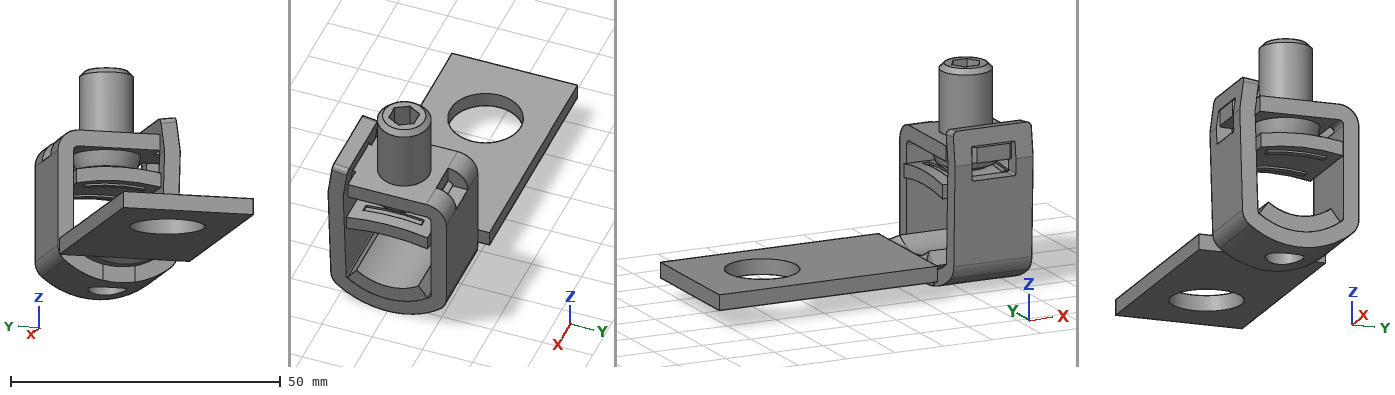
import cadquery as cq
import math

sheet = 3.0
bottom_radius = 16.3
trough_outer_radius = bottom_radius - sheet
trough_inner_radius = trough_outer_radius - sheet
clamp_x = 57.0
screw_y = 0.2

lug_width = 25.0
lug_base = 3.95
lug_flat_length = 45.0
bolt_hole_diameter = 14.0
bolt_hole_x = 14.9
trough_start_x = 46.3
trough_half_angle = math.radians(37)
neck_half_width = trough_outer_radius * math.sin(trough_half_angle)

housing_width = 16.1
housing_start_x = clamp_x - housing_width / 2
housing_end_x = clamp_x + housing_width / 2
roof_top = 28.55
roof_underside = roof_top - sheet
roof_end_y = -7.9
bend_inner_radius = 1.0
bend_outer_radius = bend_inner_radius + sheet
foot_inner_radius = 0.5
foot_outer_radius = foot_inner_radius + sheet
back_wall_y = 11.7
front_foot_y = -11.25
front_bend_y = -11.85
front_top_y = -11.0
front_top_z = 32.0
front_corner_radius = 1.0
window_width = 9.0
window_bottom = 22.2
window_top = 28.8
window_corner_radius = 0.4
tongue_width = 8.15
tongue_end_y = -11.6
tongue_chamfer = 0.65
back_slot_width = 6.0
back_slot_y = 7.75
floor_hole_diameter = 7.2
floor_tab_width = 6.2
floor_tab_length = 0.2
collar_root_radius = 6.4
collar_middle_radius = 6.1
collar_tip_radius = 5.6
collar_height = 2.9

plate_length = 17.5
plate_width = 16.2
plate_crown = 21.8
plate_thickness = 2.6
plate_radius = 43.4
groove_offset = 5.4
groove_width = 1.5
groove_length = 11.6
groove_depth = 0.4

screw_diameter = 10.0
screw_top = 41.5
screw_tip = plate_crown
screw_chamfer = 1.0
hex_across_flats = 5.0
hex_depth = 5.0


def box(x_range, y_range, z_range):
    """Axis-aligned block between the given limits."""
    low, high = zip(x_range, y_range, z_range)
    return cq.Workplane("XY").box(*(b - a for a, b in zip(low, high)), centered=False).translate(low)


def floor_arc_z(radius, y):
    """Height of a curved floor surface of the given radius at a given Y."""
    return bottom_radius - math.sqrt(radius**2 - y**2)


def trough_section(x):
    """Ring-sector cross-section of the trough, with radial ends."""
    sine = math.sin(trough_half_angle)
    cosine = math.cos(trough_half_angle)
    outer, inner = trough_outer_radius, trough_inner_radius
    return (
        cq.Workplane("YZ", origin=(x, 0, bottom_radius))
        .moveTo(-outer * sine, -outer * cosine)
        .threePointArc((0, -outer), (outer * sine, -outer * cosine))
        .lineTo(inner * sine, -inner * cosine)
        .threePointArc((0, -inner), (-inner * sine, -inner * cosine))
        .close()
    )


def neck_section():
    """Flat cross-section from which the lug is formed into the trough."""
    return (
        cq.Workplane("YZ", origin=(lug_flat_length, 0, lug_base))
        .moveTo(-neck_half_width, 0)
        .lineTo(neck_half_width, 0)
        .lineTo(neck_half_width, sheet)
        .lineTo(-neck_half_width, sheet)
        .close()
    )


def make_lug():
    flat = box((0, lug_flat_length), (-lug_width / 2, lug_width / 2), (lug_base, lug_base + sheet))
    bolt_hole = (
        cq.Workplane("XY")
        .center(bolt_hole_x, 0)
        .circle(bolt_hole_diameter / 2)
        .extrude(lug_base + sheet)
    )
    neck = cq.Solid.makeLoft([neck_section().val(), trough_section(trough_start_x).val()], True)
    trough = trough_section(trough_start_x).extrude(housing_end_x - trough_start_x)
    return flat.cut(bolt_hole).union(cq.Workplane(neck)).union(trough)


def make_entry_trim():
    """Thin slice taken off the entry edge of the strip, leaving only the tab on the curved floor."""
    x_range = (housing_start_x - floor_tab_length, housing_start_x)
    slice_all = box(x_range, (front_bend_y - sheet, back_wall_y + sheet), (0, front_top_z + sheet))
    tab = box(x_range, (-floor_tab_width / 2, floor_tab_width / 2), (0, bottom_radius))
    return slice_all.cut(tab)


def make_strip():
    """The bent strip with its rounded bends, before any openings."""
    back_inner_y = back_wall_y - sheet
    front_foot_inner_y = front_foot_y + sheet
    lean = math.atan2(front_top_y - front_bend_y, front_top_z - roof_underside)
    top_inner = (front_top_y + sheet * math.cos(lean), front_top_z - sheet * math.sin(lean))
    back_foot = (back_wall_y, floor_arc_z(bottom_radius, back_wall_y))
    front_foot = (front_foot_y, floor_arc_z(bottom_radius, front_foot_y))
    back_foot_inner = (back_inner_y, floor_arc_z(trough_outer_radius, back_inner_y))
    front_foot_inner = (front_foot_inner_y, floor_arc_z(trough_outer_radius, front_foot_inner_y))
    strip = (
        cq.Workplane("YZ", origin=(housing_start_x - floor_tab_length, 0, 0))
        .moveTo(roof_end_y, roof_top)
        .lineTo(back_wall_y, roof_top)
        .lineTo(*back_foot)
        .threePointArc((0, 0), front_foot)
        .lineTo(front_bend_y, roof_underside)
        .lineTo(front_top_y, front_top_z)
        .lineTo(*top_inner)
        .lineTo(front_bend_y + sheet, roof_underside)
        .lineTo(*front_foot_inner)
        .threePointArc((0, sheet), back_foot_inner)
        .lineTo(back_inner_y, roof_underside)
        .lineTo(roof_end_y, roof_underside)
        .close()
        .extrude(housing_width + floor_tab_length)
    )
    bends = [
        ((back_wall_y, roof_top), bend_outer_radius),
        ((back_inner_y, roof_underside), bend_inner_radius),
        (back_foot, foot_outer_radius),
        (front_foot, foot_outer_radius),
        (back_foot_inner, foot_inner_radius),
        (front_foot_inner, foot_inner_radius),
    ]
    for corner, radius in bends:
        strip = strip.edges(cq.NearestToPointSelector((clamp_x, *corner))).fillet(radius)
    strip = strip.cut(make_entry_trim())
    for x in (housing_start_x, housing_end_x):
        top_corner = cq.NearestToPointSelector((x, front_top_y + sheet / 2, front_top_z))
        strip = strip.edges(top_corner).fillet(front_corner_radius)
    return strip


def make_tongue():
    """Narrow end of the roof that reaches into the front window."""
    half_width = tongue_width / 2
    tongue = box(
        (clamp_x - half_width, clamp_x + half_width), (tongue_end_y, roof_end_y), (roof_underside, roof_top)
    )
    return tongue.edges("<Y and |Z").chamfer(tongue_chamfer)


def make_collar():
    """Flared collar drawn down from the roof around the screw."""
    tip_z = roof_underside - collar_height
    return (
        cq.Workplane("XZ", origin=(clamp_x, screw_y, 0))
        .moveTo(0, roof_underside)
        .lineTo(collar_root_radius, roof_underside)
        .threePointArc(
            (collar_middle_radius, roof_underside - collar_height / 2), (collar_tip_radius, tip_z)
        )
        .lineTo(0, tip_z)
        .close()
        .revolve(360, (0, 0, 0), (0, 1, 0))
    )


def make_housing():
    window = box(
        (clamp_x - window_width / 2, clamp_x + window_width / 2),
        (front_bend_y, roof_end_y),
        (window_bottom, window_top),
    ).edges("|Y").fillet(window_corner_radius)
    back_slot = box(
        (clamp_x - back_slot_width / 2, clamp_x + back_slot_width / 2),
        (back_slot_y, back_wall_y),
        (roof_underside - bend_inner_radius, roof_top),
    )
    floor_hole = cq.Workplane("XY").center(clamp_x, 0).circle(floor_hole_diameter / 2).extrude(sheet * 2)
    screw_hole = (
        cq.Workplane("XY", origin=(clamp_x, screw_y, screw_tip))
        .circle(screw_diameter / 2)
        .extrude(screw_top - screw_tip)
    )
    return (
        make_strip()
        .cut(window)
        .cut(back_slot)
        .cut(floor_hole)
        .union(make_tongue())
        .union(make_collar())
        .cut(screw_hole)
    )


def make_screw():
    hex_diameter = hex_across_flats / math.cos(math.pi / 6)
    return (
        cq.Workplane("XY", origin=(clamp_x, screw_y, screw_tip))
        .circle(screw_diameter / 2)
        .extrude(screw_top - screw_tip)
        .edges()
        .chamfer(screw_chamfer)
        .faces(">Z")
        .workplane(origin=(clamp_x, screw_y, screw_top))
        .polygon(6, hex_diameter)
        .cutBlind(-hex_depth)
    )


def arched_slab(middle_x, length, width, crown):
    """Slab arched across Y over the screw axis, with its highest line at the given height."""
    start_x = middle_x - length / 2
    ring = (
        cq.Workplane("YZ", origin=(start_x, screw_y, crown - plate_radius))
        .circle(plate_radius)
        .circle(plate_radius - plate_thickness)
        .extrude(length)
    )
    limits = box(
        (start_x, start_x + length), (screw_y - width / 2, screw_y + width / 2), (0, screw_top)
    )
    return ring.intersect(limits)


def make_pressure_plate():
    plate = arched_slab(clamp_x, plate_length, plate_width, plate_crown)
    for side in (-1, 1):
        groove_x = clamp_x + side * groove_offset
        floor_crown = plate_crown - groove_depth
        ridge = arched_slab(groove_x, groove_width, groove_length, floor_crown)
        groove = arched_slab(groove_x, groove_width, groove_length, floor_crown + plate_thickness)
        plate = plate.union(ridge).cut(groove)
    return plate


lug = make_lug()
housing = make_housing()
screw = make_screw()
pressure_plate = make_pressure_plate()

result = cq.Compound.makeCompound(
    [
        *lug.solids().vals(),
        *housing.solids().vals(),
        *screw.solids().vals(),
        *pressure_plate.solids().vals(),
    ]
)